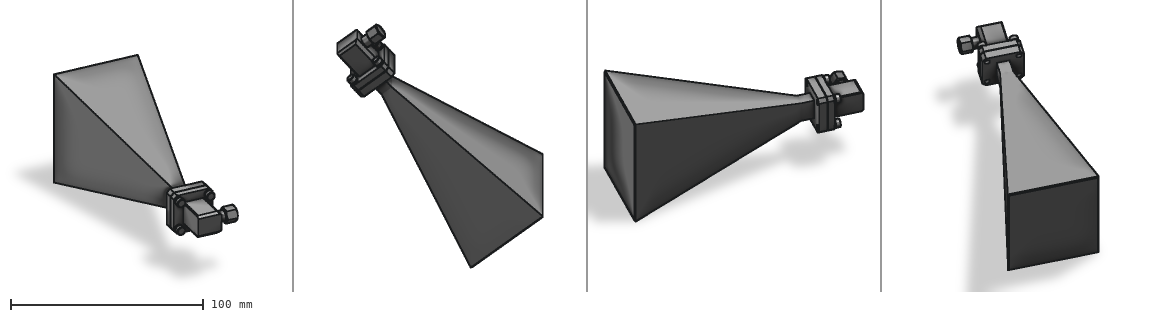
import cadquery as cq
import math


neck_start = 98.55
horn_flange_start = 105.8
gasket_start = 110.35
gasket_thickness = 0.4
adapter_flange_end = 114.4
adapter_end = 132.08

rim_bevel = 0.6
mouth_width = 48.52
mouth_height = 63.71
neck_width = 6.9
neck_height = 11.6

flange_size = 22.4
flange_corner = 2.0
screw_y = 8.51
screw_z = 8.13
screw_diameter = 2.84
thread_engagement = 1.5
head_diameter = 4.65
head_height = 2.7
head_chamfer = 0.3
collar_diameter = 4.4
collar_height = 0.95

box_y_min = -5.75
box_y_max = 7.65
box_height = 12.8
bevel_front = 0.5
bevel_back = 2.0
bevel_end = 1.4

connector_x = 125.75
stem_diameter = 6.1
nut_start = 11.75
nut_length = 6.8
nut_across_flats = 7.94
nut_turn = -8.5
nut_face_diameter = 7.0
nut_bevel_height = 0.75

adapter_flange_start = gasket_start + gasket_thickness
screw_places = [(y, z) for y in (-screw_y, screw_y) for z in (-screw_z, screw_z)]


def cylinder(x_start, length, diameter, places):
    """Round bars along +X, centred on the given (Y, Z) places."""
    return (
        cq.Workplane("YZ", origin=(x_start, 0, 0))
        .pushPoints(places)
        .circle(diameter / 2)
        .extrude(length)
    )


def flange_plate(x_start, x_end):
    """Square plate with cut corners and four screw holes."""
    thickness = x_end - x_start
    plate = (
        cq.Workplane("YZ", origin=(x_start, 0, 0))
        .rect(flange_size, flange_size)
        .extrude(thickness)
        .edges("|X")
        .chamfer(flange_corner)
    )
    return plate.cut(cylinder(x_start, thickness, screw_diameter, screw_places))


def make_horn():
    """Closed pyramidal horn with a bevelled mouth rim, a straight neck and a flange."""
    rim = (
        cq.Workplane("YZ")
        .rect(mouth_width - 2 * rim_bevel, mouth_height - 2 * rim_bevel)
        .workplane(offset=rim_bevel)
        .rect(mouth_width, mouth_height)
        .loft(ruled=True)
    )
    flare = (
        cq.Workplane("YZ", origin=(rim_bevel, 0, 0))
        .rect(mouth_width, mouth_height)
        .workplane(offset=neck_start - rim_bevel)
        .rect(neck_width, neck_height)
        .loft(ruled=True)
    )
    neck = (
        cq.Workplane("YZ", origin=(neck_start, 0, 0))
        .rect(neck_width, neck_height)
        .extrude(horn_flange_start - neck_start)
    )
    return rim.union(flare).union(neck).union(flange_plate(horn_flange_start, gasket_start))


def make_adapter():
    """Flange carrying a box whose top and bottom edges have 45 degree bevels."""
    half_height = box_height / 2
    side_outline = [
        (adapter_flange_end, -half_height),
        (adapter_end - bevel_end, -half_height),
        (adapter_end, bevel_end - half_height),
        (adapter_end, half_height - bevel_end),
        (adapter_end - bevel_end, half_height),
        (adapter_flange_end, half_height),
    ]
    end_outline = [
        (box_y_min, bevel_front - half_height),
        (box_y_min + bevel_front, -half_height),
        (box_y_max - bevel_back, -half_height),
        (box_y_max, bevel_back - half_height),
        (box_y_max, half_height - bevel_back),
        (box_y_max - bevel_back, half_height),
        (box_y_min + bevel_front, half_height),
        (box_y_min, half_height - bevel_front),
    ]
    side_profile = (
        cq.Workplane("XZ", origin=(0, box_y_max, 0))
        .polyline(side_outline)
        .close()
        .extrude(box_y_max - box_y_min)
    )
    end_profile = (
        cq.Workplane("YZ", origin=(adapter_flange_end, 0, 0))
        .polyline(end_outline)
        .close()
        .extrude(adapter_end - adapter_flange_end)
    )
    box = side_profile.intersect(end_profile)
    return flange_plate(adapter_flange_start, adapter_flange_end).union(box)


def make_screw(place):
    """Shank through the flanges, a collar on the flange face and a cap head."""
    head_start = adapter_flange_end + collar_height
    shank_start = gasket_start - thread_engagement
    shank = cylinder(shank_start, head_start - shank_start, screw_diameter, [place])
    collar = cylinder(adapter_flange_end, collar_height, collar_diameter, [place])
    head = cylinder(head_start, head_height, head_diameter, [place])
    head = head.faces(">X").edges().chamfer(head_chamfer)
    return shank.union(collar).union(head)


def make_stem():
    """Round connector stem from the back of the box up to the nut."""
    return (
        cq.Workplane("XZ", origin=(connector_x, box_y_max, 0))
        .circle(stem_diameter / 2)
        .extrude(box_y_max - nut_start)
    )


def make_nut():
    """Hexagon nut, both ends turned to a cone."""
    across_corners = nut_across_flats / math.cos(math.pi / 6)
    hexagon = (
        cq.Workplane("XZ", origin=(connector_x, nut_start, 0))
        .transformed(rotate=(0, 0, nut_turn))
        .polygon(6, across_corners)
        .extrude(-nut_length)
    )
    face_radius = nut_face_diameter / 2
    corner_radius = across_corners / 2
    turned = (
        cq.Workplane("XY", origin=(connector_x, nut_start, 0))
        .moveTo(0, 0)
        .lineTo(face_radius, 0)
        .lineTo(corner_radius, nut_bevel_height)
        .lineTo(corner_radius, nut_length - nut_bevel_height)
        .lineTo(face_radius, nut_length)
        .lineTo(0, nut_length)
        .close()
        .revolve(360, (0, 0, 0), (0, 1, 0))
    )
    return hexagon.intersect(turned)


horn = make_horn()
gasket = flange_plate(gasket_start, adapter_flange_start)
adapter = make_adapter()
screws = [make_screw(place) for place in screw_places]
stem = make_stem()
nut = make_nut()

result = cq.Compound.makeCompound(
    [
        horn.val(),
        gasket.val(),
        adapter.val(),
        *[screw.val() for screw in screws],
        stem.val(),
        nut.val(),
    ]
)